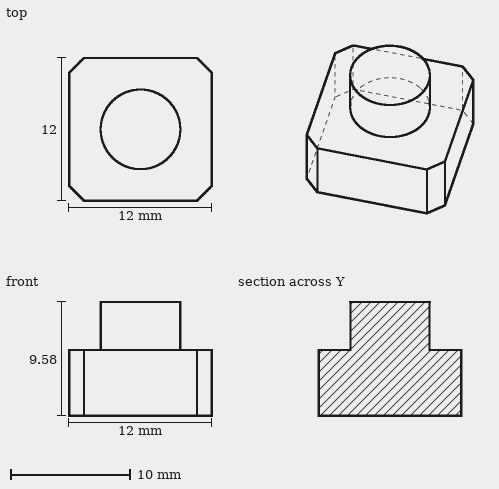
import cadquery as cq

base_width = 12.0
base_height = 5.54
corner_chamfer = 1.25

post_diameter = 6.7
total_height = 9.58
post_height = total_height - base_height


def make_base():
    """Square block with its four vertical edges chamfered, resting on Z = 0."""
    block = cq.Workplane("XY").box(base_width, base_width, base_height, centered=(True, True, False))
    return block.edges("|Z").chamfer(corner_chamfer)


def add_post(base):
    """Add the cylindrical post at the centre of the top face."""
    return base.faces(">Z").workplane().circle(post_diameter / 2).extrude(post_height)


result = add_post(make_base())